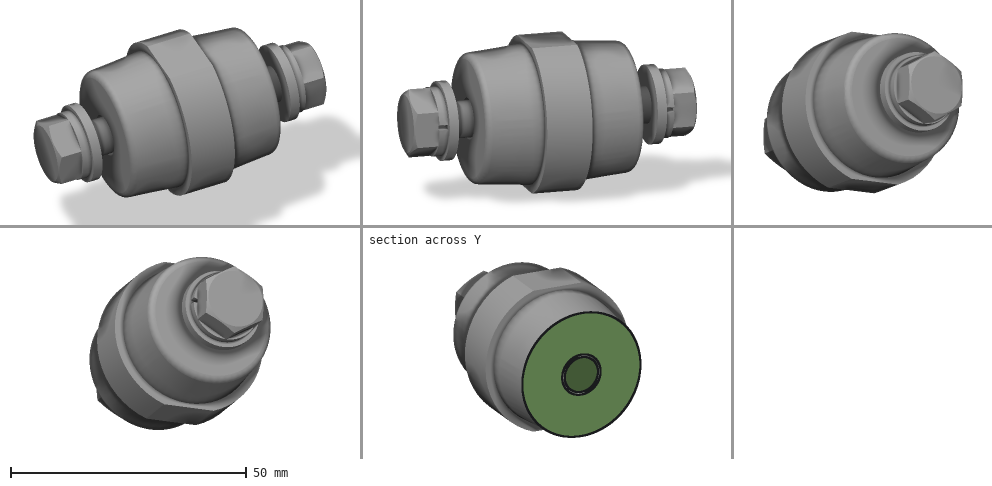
import cadquery as cq
import math

half_length = 31.4

belt_diameter = 34.0
belt_flat_distance = 32.0
belt_half_width = 5.0
barrel_half_length = 17.5
barrel_root_radius = 15.1
barrel_end_radius = 14.0
barrel_flare_sag = 0.05
barrel_rim_fillet = 1.3

shank_diameter = 8.0
shank_depth = 10.05
shank_recess_diameter = 9.0
shank_recess_depth = 2.0
hex_across_flats = 13.0
head_height = 5.35
head_face_diameter = 12.45
head_chamfer_angle = 30.0
spring_washer_diameter = 14.8
spring_washer_thickness = 1.95
spring_washer_gap_height = 1.05
flat_washer_diameter = 17.0
flat_washer_thickness = 2.1

head_seat = half_length - head_height
spring_washer_seat = head_seat - spring_washer_thickness
flat_washer_seat = spring_washer_seat - flat_washer_thickness
shank_tip = barrel_half_length - shank_depth


def axis_plane(y):
    """Plane across the axis at y, with its normal along +Y and its local Y along +Z."""
    return cq.Workplane(cq.Plane(origin=(0, y, 0), xDir=(-1, 0, 0), normal=(0, 1, 0)))


def disc(diameter, start, length):
    return axis_plane(start).circle(diameter / 2).extrude(length)


def make_barrel():
    """Body of revolution, flared in a shallow concave arc from each end to the belt."""
    middle_y = (belt_half_width + barrel_half_length) / 2
    middle_radius = (barrel_root_radius + barrel_end_radius) / 2 - barrel_flare_sag
    barrel = (
        cq.Workplane("XY")
        .moveTo(0, -barrel_half_length)
        .lineTo(barrel_end_radius, -barrel_half_length)
        .threePointArc((middle_radius, -middle_y), (barrel_root_radius, -belt_half_width))
        .lineTo(barrel_root_radius, belt_half_width)
        .threePointArc((middle_radius, middle_y), (barrel_end_radius, barrel_half_length))
        .lineTo(0, barrel_half_length)
        .close()
        .revolve(360, (0, 0, 0), (0, 1, 0))
    )
    return barrel.faces("<Y or >Y").edges().fillet(barrel_rim_fillet)


def make_belt():
    """Round belt with a flat at the top and at the bottom."""
    belt_width = 2 * belt_half_width
    belt = disc(belt_diameter, -belt_half_width, belt_width)
    return belt.intersect(cq.Workplane("XY").box(belt_diameter, belt_width, belt_flat_distance))


def make_insulator():
    """Barrel and belt, with a blind hole and a wider recess for a bolt shank in each end."""
    recess_floor = barrel_half_length - shank_recess_depth
    recess = disc(shank_recess_diameter, recess_floor, shank_recess_depth)
    hole = disc(shank_diameter, shank_tip, shank_depth).union(recess)
    return make_barrel().union(make_belt()).cut(hole).cut(hole.mirror("XZ"))


def make_bolt_head():
    """Hexagon with corners on the Z axis, its outer corners cut by a cone."""
    corner_diameter = hex_across_flats / math.cos(math.radians(30))
    head = axis_plane(head_seat).polygon(6, corner_diameter).extrude(head_height)
    head = head.rotate((0, 0, 0), (0, 1, 0), 30)
    face_radius = head_face_diameter / 2
    cone_radius = head_face_diameter
    cone_drop = (cone_radius - face_radius) * math.tan(math.radians(head_chamfer_angle))
    cone = (
        cq.Workplane("XY")
        .polyline([
            (0, head_seat),
            (cone_radius, head_seat),
            (cone_radius, half_length - cone_drop),
            (face_radius, half_length),
            (0, half_length),
        ])
        .close()
        .revolve(360, (0, 0, 0), (0, 1, 0))
    )
    return head.intersect(cone)


def make_spring_washer():
    """Ring split on its -X side by a wedge that narrows to nothing at the shank."""
    ring = disc(spring_washer_diameter, spring_washer_seat, spring_washer_thickness)
    outer_radius = spring_washer_diameter / 2
    gap = (
        cq.Workplane("XZ", origin=(0, spring_washer_seat, 0))
        .polyline([
            (-shank_diameter / 2, 0),
            (-outer_radius, 0),
            (-outer_radius, spring_washer_gap_height),
        ])
        .close()
        .extrude(-spring_washer_thickness)
    )
    return ring.cut(gap)


def make_bolt():
    """Hexagon bolt with its spring washer and flat washer, at the +Y end."""
    shank = disc(shank_diameter, shank_tip, head_seat - shank_tip)
    flat_washer = disc(flat_washer_diameter, flat_washer_seat, flat_washer_thickness)
    return shank.union(flat_washer).union(make_spring_washer()).union(make_bolt_head())


insulator = make_insulator()

bolts = []
for y_direction in (1, -1):
    bolt = make_bolt()
    if y_direction < 0:
        bolt = bolt.mirror("XZ")
    bolts.append(bolt.val())

result = cq.Compound.makeCompound([insulator.val(), *bolts])